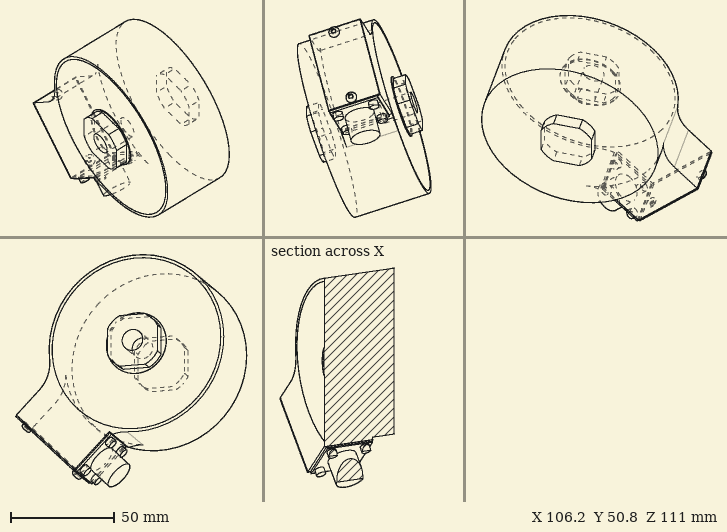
import cadquery as cq
import math

overall_depth = 50.8

disc_diameter = 88.4
disc_depth = 38.1
face_recess_diameter = 85.3
face_recess_depth = 0.1

boss_diameter = 30.3
boss_height = 0.3
stud_diameter = 28.4
stud_across_flats = 25.3
front_stud_length = 6.5
back_stud_length = overall_depth - disc_depth - front_stud_length
bore_diameter = 10.4
bore_depth = 16.6

arm_angle = 225
arm_width = 41.7
arm_depth = 26.4
arm_end = 65.0
arm_fillet_radius = 18.5

fitting_depth = 13.9

cover_thickness = 0.8
cover_inset = 0.2
cover_screw_spacing = 36.0
button_diameter = 5.2
button_height = 2.0
button_edge_radius = 1.3
button_socket_diameter = 2.2
button_socket_depth = 1.1

connector_position = 52.8
connector_diameter = 14.4
connector_reach = 34.4
flange_size = 24.6
flange_thickness = 1.1
flange_clearance = 0.3
flange_screw_spacing = 18.1
flange_screw_diameter = 4.7
flange_screw_height = 2.8

disc_radius = disc_diameter / 2
arm_half_width = arm_width / 2


def cylinder_along_y(diameter, start, end):
    """Cylinder on the disc axis between two Y positions."""
    plane = cq.Plane(origin=(0, start, 0), xDir=(1, 0, 0), normal=(0, 1, 0))
    return cq.Workplane(plane).circle(diameter / 2).extrude(end - start)


def make_stud(start, end):
    """Round stud trimmed to a square section, leaving rounded corners."""
    flats = cq.Workplane("XY").box(stud_across_flats, end - start, stud_across_flats)
    flats = flats.translate((0, (start + end) / 2, 0))
    return cylinder_along_y(stud_diameter, start, end).intersect(flats)


def make_arm():
    """Straight arm blended into the disc by a concave arc on each side."""
    blend_centre_height = arm_half_width + arm_fillet_radius
    blend_centre_distance = disc_radius + arm_fillet_radius
    blend_start = math.sqrt(blend_centre_distance**2 - blend_centre_height**2)
    on_disc = disc_radius / blend_centre_distance
    contact_x = blend_start * on_disc
    contact_z = blend_centre_height * on_disc
    toward_disc = math.atan2(-blend_centre_height, -blend_start)
    middle_angle = (toward_disc - math.pi / 2) / 2
    middle_x = blend_start + arm_fillet_radius * math.cos(middle_angle)
    middle_z = blend_centre_height + arm_fillet_radius * math.sin(middle_angle)
    return (
        cq.Workplane("XZ")
        .lineTo(contact_x, contact_z)
        .threePointArc((middle_x, middle_z), (blend_start, arm_half_width))
        .lineTo(arm_end, arm_half_width)
        .lineTo(arm_end, -arm_half_width)
        .lineTo(blend_start, -arm_half_width)
        .threePointArc((middle_x, -middle_z), (contact_x, -contact_z))
        .close()
        .extrude(-arm_depth)
    )


def make_cover():
    """Thin plate over the arm end with its two socketed button-head screws."""
    cover_depth = arm_depth - 2 * cover_inset
    cover_width = arm_width - 2 * cover_inset
    cover = cq.Workplane("XY").box(cover_thickness, cover_depth, cover_width)
    cover = cover.translate((arm_end + cover_thickness / 2, arm_depth / 2, 0))
    seat = cq.Plane(
        origin=(arm_end + cover_thickness, fitting_depth, 0), xDir=(0, 1, 0), normal=(1, 0, 0)
    )
    positions = [(0, -cover_screw_spacing / 2), (0, cover_screw_spacing / 2)]
    buttons = (
        cq.Workplane(seat)
        .pushPoints(positions)
        .circle(button_diameter / 2)
        .extrude(button_height)
        .faces(">X")
        .edges()
        .fillet(button_edge_radius)
    )
    sockets = (
        cq.Workplane(seat)
        .workplane(offset=button_height - button_socket_depth)
        .pushPoints(positions)
        .circle(button_socket_diameter / 2)
        .extrude(button_socket_depth)
    )
    return cover.union(buttons.cut(sockets))


def connector_plane():
    """Arm side face at the connector, looking outward."""
    return cq.Plane(
        origin=(connector_position, fitting_depth, arm_half_width), xDir=(1, 0, 0), normal=(0, 0, 1)
    )


def make_flange_recess():
    """Clearance through the blend so the flange sits flat on the arm side."""
    width = flange_size + 2 * flange_clearance
    return cq.Workplane(connector_plane()).rect(width, 2 * arm_depth).extrude(arm_fillet_radius)


def make_connector():
    """Square flange, round barrel and four cap screws."""
    flange = cq.Workplane(connector_plane()).rect(flange_size, flange_size).extrude(flange_thickness)
    barrel = (
        cq.Workplane(connector_plane())
        .circle(connector_diameter / 2)
        .extrude(connector_reach - arm_half_width)
    )
    screws = (
        cq.Workplane(connector_plane())
        .rect(flange_screw_spacing, flange_screw_spacing, forConstruction=True)
        .vertices()
        .circle(flange_screw_diameter / 2)
        .extrude(flange_thickness + flange_screw_height)
    )
    return flange.union(barrel).union(screws)


arm = make_arm().cut(make_flange_recess()).union(make_cover()).union(make_connector())
arm = arm.rotate((0, 0, 0), (0, 1, 0), -arm_angle)

result = (
    cylinder_along_y(disc_diameter, 0, disc_depth)
    .union(arm)
    .cut(cylinder_along_y(face_recess_diameter, 0, face_recess_depth))
    .union(cylinder_along_y(boss_diameter, -boss_height, disc_depth))
    .union(make_stud(-front_stud_length, disc_depth + back_stud_length))
    .cut(cylinder_along_y(bore_diameter, -front_stud_length, bore_depth - front_stud_length))
)